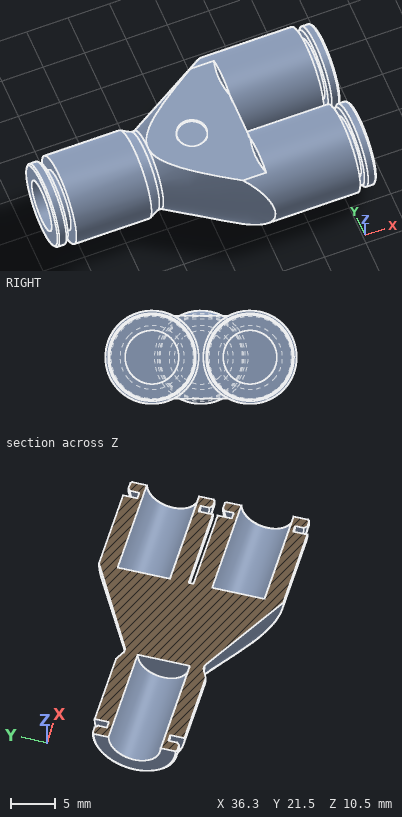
import cadquery as cq


length = 36.3
width = 21.5
barrel_diameter = 10.5

half_length = length / 2
barrel_radius = barrel_diameter / 2
branch_offset = width / 2 - barrel_radius

flange_radius = 4.95
flange_thickness = 1.35
flange_outer_chamfer = 0.18
flange_inner_chamfer = 0.33
collet_neck_radius = 3.6
collet_length = 2.1
bore_radius = 3.0
bore_depth = 12.35

single_barrel_start = -half_length + collet_length
shoulder_start = -6.97
shoulder_end = -5.77
junction_start = -5.3
junction_end = 5.8
branch_barrel_end = half_length - collet_length
branch_lead_in = 0.33

junction_thickness = 9.3
neck_radius = junction_thickness / 2

recess_radius = 1.75
recess_depth = 0.33


def cylinder(radius, start, end, y=0.0):
    """Cylinder parallel to X, from X = start to X = end."""
    return cq.Workplane("YZ", origin=(start, y, 0)).circle(radius).extrude(end - start)


def turned(profile, y=0.0):
    """Solid of revolution about the line parallel to X at the given Y; profile points are (x, radius)."""
    outline = cq.Workplane("XY").polyline(profile).close()
    return outline.revolve(360, (0, 0, 0), (1, 0, 0)).translate((0, y, 0))


def collet(direction, y=0.0):
    """Collet at the port end facing the given X direction."""
    end = half_length
    inner_face = end - flange_thickness
    profile = [
        (end - collet_length, 0),
        (end - collet_length, collet_neck_radius),
        (inner_face, collet_neck_radius),
        (inner_face, flange_radius - flange_inner_chamfer),
        (inner_face + flange_inner_chamfer, flange_radius),
        (end - flange_outer_chamfer, flange_radius),
        (end, flange_radius - flange_outer_chamfer),
        (end, 0),
    ]
    return turned([(direction * x, radius) for x, radius in profile], y)


def bore(direction, y=0.0):
    """Blind tube socket entering from the port end facing the given X direction."""
    near, far = sorted((direction * half_length, direction * (half_length - bore_depth)))
    return cylinder(bore_radius, near, far, y)


def single_barrel():
    """Barrel of the single port, with a conical shoulder down to a short neck."""
    return turned([
        (single_barrel_start, 0),
        (single_barrel_start, barrel_radius),
        (shoulder_start, barrel_radius),
        (shoulder_end, neck_radius),
        (junction_start, neck_radius),
        (junction_start, 0),
    ])


def branch_lead_in_cone(y):
    """Steep conical lead-in where one branch barrel rises from the junction's flat faces."""
    return turned([
        (junction_end - branch_lead_in, 0),
        (junction_end - branch_lead_in, neck_radius),
        (junction_end, barrel_radius),
        (junction_end, 0),
    ], y)


def branches():
    """Two parallel barrels joined by a web, trimmed to a widening cone and flattened over the junction."""
    span = junction_end - junction_start
    web_plane = cq.Workplane("YZ", origin=(junction_start, 0, 0))
    body = web_plane.rect(2 * branch_offset, barrel_diameter).extrude(span)
    for y in (-branch_offset, branch_offset):
        body = body.union(cylinder(barrel_radius, junction_start, branch_barrel_end, y))

    cone_slope = (width / 2 - neck_radius) / span
    cone_end_radius = neck_radius + cone_slope * (branch_barrel_end - junction_start)
    body = body.intersect(turned([
        (junction_start, 0),
        (junction_start, neck_radius),
        (branch_barrel_end, cone_end_radius),
        (branch_barrel_end, 0),
    ]))

    skin = cq.Workplane("XY").box(span, width, barrel_diameter)
    skin = skin.cut(cq.Workplane("XY").box(span, width, junction_thickness))
    skin = skin.translate(((junction_start + junction_end) / 2, 0, 0))
    for y in (-branch_offset, branch_offset):
        skin = skin.cut(branch_lead_in_cone(y))
    return body.cut(skin)


ports = [(-1, 0.0), (1, -branch_offset), (1, branch_offset)]

result = branches().union(single_barrel())
for direction, y in ports:
    result = result.union(collet(direction, y))
for direction, y in ports:
    result = result.cut(bore(direction, y))

recess_floor = junction_thickness / 2 - recess_depth
recess = cq.Workplane("XY").workplane(offset=recess_floor).circle(recess_radius).extrude(recess_depth)
result = result.cut(recess)